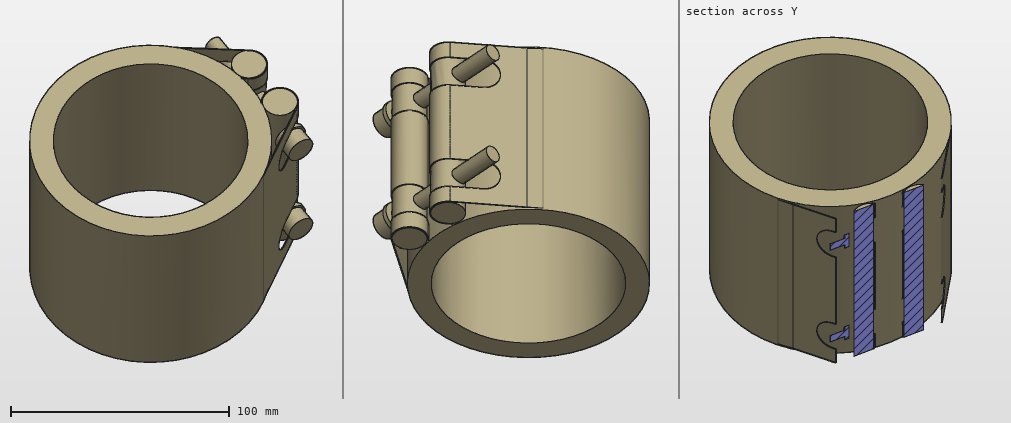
import cadquery as cq
import math

sleeve_diameter = 110.7
bore_diameter = 89.0
sleeve_height = 94.0

pin_diameter = 16.0
pin_offset_x = 13.0
pin_end_inset = 0.5
pin_height = sleeve_height - 2 * pin_end_inset

strap_thickness = 0.5
strap_end_inset = 0.9
strap_height = sleeve_height - 2 * strap_end_inset
return_length = 12.6

slot_width = 16.0
slot_center_distance = 15.1

bolt_offset_z = 29.4
bolt_diameter = 8.0
bolt_tip_x = -43.1
washer_diameter = 15.0
washer_thickness = 1.9
head_diameter = 13.0
head_length = 7.7

sleeve_radius = sleeve_diameter / 2
pin_radius = pin_diameter / 2
loop_radius = pin_radius + strap_thickness
total_depth = 126.0
pin_y = total_depth - sleeve_radius - loop_radius

pin_distance = math.hypot(pin_offset_x, pin_y)
radius_difference = sleeve_radius - loop_radius
strand_length = math.sqrt(pin_distance**2 - radius_difference**2)
pin_bearing = math.degrees(math.atan2(pin_y, -pin_offset_x))
tangent_angle = math.degrees(math.acos(radius_difference / pin_distance))
strand_angle = pin_bearing + tangent_angle - 90


def make_sleeve():
    return (
        cq.Workplane("XY")
        .circle(sleeve_radius)
        .circle(bore_diameter / 2)
        .extrude(sleeve_height / 2, both=True)
    )


def make_left_strap():
    loop = (
        cq.Workplane("XY")
        .moveTo(-strand_length, loop_radius)
        .lineTo(0, loop_radius)
        .threePointArc((loop_radius, 0), (0, -loop_radius))
        .lineTo(-return_length, -loop_radius)
        .lineTo(-return_length, -pin_radius)
        .lineTo(0, -pin_radius)
        .threePointArc((pin_radius, 0), (0, pin_radius))
        .lineTo(-strand_length, pin_radius)
        .close()
        .extrude(strap_height / 2, both=True)
    )
    slot_run = slot_center_distance + loop_radius
    slots = (
        cq.Workplane("XZ")
        .pushPoints([(-slot_center_distance, z) for z in (-bolt_offset_z, bolt_offset_z)])
        .circle(slot_width / 2)
        .extrude(loop_radius, both=True)
    )
    for z in (-bolt_offset_z, bolt_offset_z):
        slot_body = cq.Workplane("XY").box(slot_run, 2 * loop_radius, slot_width)
        slots = slots.union(slot_body.translate((slot_run / 2 - slot_center_distance, 0, z)))
    strap = loop.cut(slots).rotate((0, 0, 0), (0, 0, 1), strand_angle)
    return strap.translate((-pin_offset_x, pin_y, 0))


def make_pins():
    return (
        cq.Workplane("XY")
        .pushPoints([(-pin_offset_x, pin_y), (pin_offset_x, pin_y)])
        .circle(pin_radius)
        .extrude(pin_height / 2, both=True)
    )


def rod_along_x(diameter, start_x, end_x, z):
    rod = cq.Workplane("YZ").center(pin_y, z).circle(diameter / 2).extrude(end_x - start_x)
    return rod.translate((start_x, 0, 0))


def make_bolt(z):
    washer_start = pin_offset_x + pin_radius
    head_start = washer_start + washer_thickness
    head_end = head_start + head_length
    shank = rod_along_x(bolt_diameter, bolt_tip_x, head_start, z)
    washer = rod_along_x(washer_diameter, washer_start - strap_thickness / 2, head_start, z)
    head = rod_along_x(head_diameter, head_start, head_end, z)
    return shank.union(washer).union(head)


left_strap = make_left_strap()
result = make_sleeve().union(make_pins()).union(left_strap).union(left_strap.mirror("YZ"))
for bolt_z in (-bolt_offset_z, bolt_offset_z):
    result = result.union(make_bolt(bolt_z))